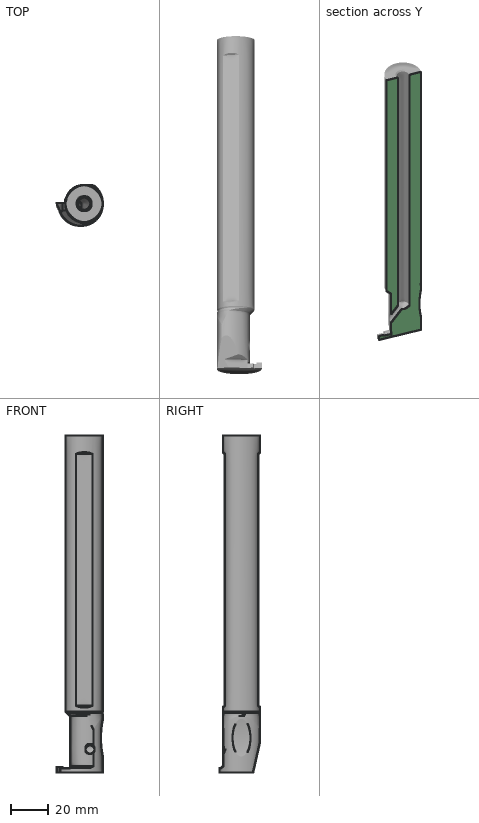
import cadquery as cq
import math

total_length = 180.0
shank_radius = 10.0
shank_start = 32.6

flat_offset = 9.0
flat_bottom = 35.7
flat_top = 170.0
flat_depth = shank_radius - flat_offset

bore_radius = 3.3
bore_mouth_radius = 4.0
bore_bottom = 19.0
drill_point_angle = 118.0

disc_radius = 11.88
disc_center_x = shank_radius - disc_radius
disc_height = 2.4

neck_radius = 10.0
neck_center_x = 2.5
neck_fillet = 1.0

shoulder_drop = 2.4
ring_bottom = 31.0
ring_valley = 31.9
ring_radius = 9.7
flare_top = shank_start - shoulder_drop
flare_bottom = 22.9
flare_radius = 10.9

back_relief_start = 16.8
back_relief_depth = 3.8

hollow_center_z = 18.5
hollow_length = 20.0
hollow_depth = 1.0

insert_tip_x = -14.69
insert_front_y = -3.7
insert_back_y = 2.2
insert_inner_x = -7.1
rake_y = 0.45
rake_end_x = -10.2
tip_height = 3.0
tip_inner_x = -11.6
tip_relief = (-14.2, -1.5)
tip_heel = (-12.65, -4.7)

gullet_wall_height = 4.4
gullet_roof_height = 2.2
gullet_roof_angle = 60.0
gullet_end = (4.0, 7.0)
clear_of_head = 20.0

outlet_z = 12.75
outlet_y = -0.7
outlet_radius = 1.65
outlet_slope = 52.0

screw_x = 3.1
screw_radius = 2.45
screw_dip = 22.0
screw_depth = 1.4


def cylinder(radius, bottom, top, x=0.0):
    return cq.Workplane("XY", origin=(x, 0, bottom)).circle(radius).extrude(top - bottom)


def prism(outline, height):
    return cq.Workplane("XY").polyline(outline).close().extrude(height)


def revolved(profile):
    """Turn a closed (radius, height) profile about the bar axis."""
    return cq.Workplane("XZ").polyline(profile).close().revolve(360, (0, 0, 0), (0, 1, 0))


def flat_cutter(side):
    """Block with 45 degree ends that leaves a flat on the +Y (1) or -Y (-1) side."""
    outer = shank_radius + flat_depth
    reach = outer - flat_offset
    profile = [
        (side * flat_offset, flat_bottom),
        (side * outer, flat_bottom - reach),
        (side * outer, flat_top + reach),
        (side * flat_offset, flat_top),
    ]
    return cq.Workplane("YZ").polyline(profile).close().extrude(shank_radius, both=True)


def make_shank():
    shank = cylinder(shank_radius, shank_start, total_length)
    for side in (-1, 1):
        shank = shank.cut(flat_cutter(side))
    return shank


def offset_cone(bottom_radius, bottom, top_radius, top):
    """Cone about the neck's own offset axis."""
    base = cq.Vector(neck_center_x, 0, bottom)
    return cq.Workplane(
        cq.Solid.makeCone(bottom_radius, top_radius, top - bottom, base, cq.Vector(0, 0, 1))
    )


def make_head_body():
    """Neck, flared lump and disc before the openings are cut."""
    trim = cylinder(disc_radius, 0, shank_start, disc_center_x)
    neck = cylinder(neck_radius, disc_height, shank_start, neck_center_x)
    shoulder = offset_cone(neck_radius, flare_top, neck_radius + shoulder_drop, shank_start)
    foot = offset_cone(neck_radius + neck_fillet, disc_height, neck_radius, disc_height + neck_fillet)
    slope = (flare_radius - shank_radius) / (flare_top - flare_bottom)
    flare = revolved([
        (0, 0),
        (shank_radius + slope * flare_top, 0),
        (shank_radius, flare_top),
        (shank_radius, ring_bottom),
        (ring_radius, ring_valley),
        (shank_radius, shank_start),
        (0, shank_start),
    ])
    disc = cylinder(disc_radius, 0, disc_height, disc_center_x)
    return disc.union(neck.union(shoulder).union(foot).intersect(trim).intersect(flare))


def back_relief():
    outer = clear_of_head
    slope = back_relief_depth / back_relief_start
    profile = [
        (shank_radius - back_relief_depth, 0),
        (outer, 0),
        (outer, back_relief_start + (outer - shank_radius) / slope),
    ]
    return cq.Workplane("YZ").polyline(profile).close().extrude(clear_of_head, both=True)


def side_hollow():
    half = hollow_length / 2
    radius = (half**2 + hollow_depth**2) / (2 * hollow_depth)
    center_x = shank_radius - hollow_depth + radius
    return (
        cq.Workplane("XZ")
        .center(center_x, hollow_center_z)
        .circle(radius)
        .extrude(clear_of_head, both=True)
    )


def gullet():
    outline = [
        (-clear_of_head, rake_y),
        (rake_end_x, rake_y),
        (rake_end_x, insert_back_y),
        (insert_inner_x, insert_back_y),
        gullet_end,
        (gullet_end[0], clear_of_head),
        (-clear_of_head, clear_of_head),
    ]
    wall = prism(outline, gullet_wall_height)
    roof = cq.Workplane("XY", origin=(0, 0, gullet_wall_height)).polyline(outline).close()
    return wall.union(roof.extrude(gullet_roof_height, taper=gullet_roof_angle))


def bore():
    point = bore_radius / math.tan(math.radians(drill_point_angle / 2))
    mouth = bore_mouth_radius - bore_radius
    return revolved([
        (0, bore_bottom - point),
        (bore_radius, bore_bottom),
        (bore_radius, total_length - mouth),
        (bore_mouth_radius, total_length),
        (0, total_length),
    ])


def coolant_outlet():
    slope = math.radians(outlet_slope)
    direction = cq.Vector(math.cos(slope), 0, math.sin(slope))
    opening = cq.Vector(neck_center_x - neck_radius, outlet_y, outlet_z)
    to_axis = -opening.x / direction.x
    start = opening - direction * to_axis
    return cq.Workplane(cq.Solid.makeCylinder(outlet_radius, 2 * to_axis, start, direction))


def screw_hole():
    dip = math.radians(screw_dip)
    inward = cq.Vector(0, math.cos(dip), -math.sin(dip))
    opening = cq.Vector(screw_x, -neck_radius, outlet_z)
    start = opening - inward * neck_radius
    return cq.Workplane(
        cq.Solid.makeCylinder(screw_radius, neck_radius + screw_depth, start, inward)
    )


def insert_bar(height):
    outline = [
        (tip_inner_x, insert_front_y),
        (insert_inner_x, insert_front_y),
        (insert_inner_x, insert_back_y),
        (rake_end_x, insert_back_y),
        (rake_end_x, rake_y),
        (tip_inner_x, rake_y),
    ]
    return prism(outline, height)


def insert_tip():
    outline = [
        (tip_inner_x, rake_y),
        (insert_tip_x, rake_y),
        tip_relief,
        tip_heel,
        (tip_inner_x, insert_front_y),
    ]
    return prism(outline, tip_height)


insert = insert_bar(disc_height).union(insert_tip())

holder = make_shank().union(make_head_body())
for opening in (back_relief(), side_hollow(), gullet(), bore(), coolant_outlet(), screw_hole()):
    holder = holder.cut(opening)
holder = holder.cut(insert_bar(disc_height + neck_fillet)).cut(insert_tip())

result = cq.Compound.makeCompound([holder.val(), insert.val()])